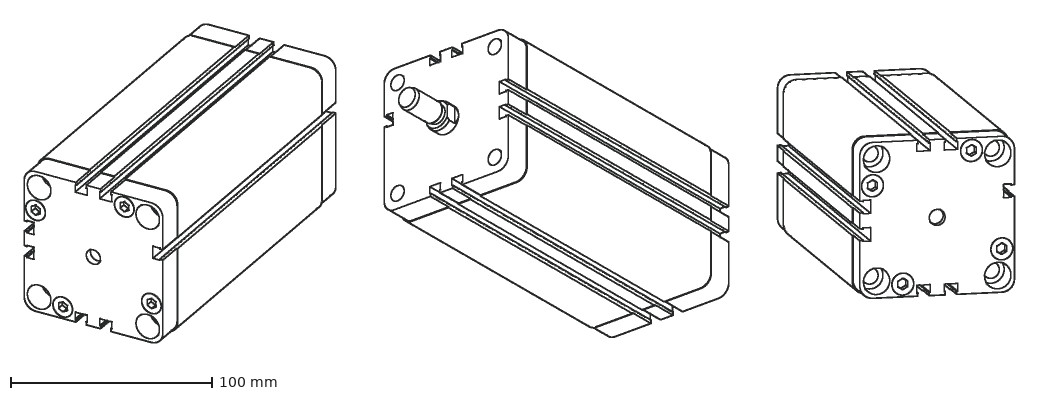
import cadquery as cq
import math

total_length = 206.5
body_length = 175.3
rear_y = -total_length / 2
shoulder_y = rear_y + body_length

barrel_side = 80.0
cap_side = 79.0
corner_radius = 6.6
cap_length = 14.5

slot_offset = 7.0
single_slot_z = 11.8
mouth_width = 5.5
channel_width = 6.8
lip_depth = 2.0
lip_flare = 0.3
slot_depth = 6.0

mount_pitch = 62.0
mount_hole_diameter = 8.5
counterbore_diameter = 13.5
counterbore_depth = cap_length

screw_far = 33.0
screw_near = 17.5
screw_head_diameter = 11.2
screw_head_recess = 0.2
socket_across_flats = 5.0
socket_depth = 4.1

center_hole_diameter = 8.0
center_hole_depth = 4.1

rod_diameter = 16.0
rod_end = 7.5
rod_chamfer_length = 1.9
rod_chamfer_height = 0.6
flat_across = 13.0
flat_start = 1.5
thread_diameter = 12.0
undercut_diameter = 10.5
thread_start = 10.0
thread_lead_in = 0.6
tip_diameter = 10.5
tip_chamfer_length = 2.3


def square_block(side, start_y, length):
    """Square block with rounded long edges, running along +Y from start_y."""
    return (
        cq.Workplane("XZ", origin=(0, start_y, 0))
        .rect(side, side)
        .extrude(-length)
        .edges("|Y")
        .fillet(corner_radius)
    )


def rear_cylinder(x, z, diameter, depth):
    """Cylinder reaching from the rear face into the part."""
    return cq.Workplane("XZ", origin=(x, rear_y, z)).circle(diameter / 2).extrude(-depth)


def slot(offset, turn):
    """Slot along the whole body, cut into the top side and then turned about Y."""
    outer_z = barrel_side / 2
    lip_z = outer_z - lip_depth
    floor_z = outer_z - slot_depth
    right_side = [
        (mouth_width / 2 + lip_flare, outer_z),
        (mouth_width / 2, lip_z),
        (channel_width / 2, lip_z),
        (channel_width / 2, floor_z),
    ]
    left_side = [(-x, z) for x, z in reversed(right_side)]
    return (
        cq.Workplane("XZ", origin=(offset, rear_y, 0))
        .polyline(right_side + left_side)
        .close()
        .extrude(-body_length)
        .rotate((0, 0, 0), (0, 1, 0), turn)
    )


def screw_recess(x, z):
    """Shallow seat of a cap screw with its hexagon socket."""
    socket_diameter = socket_across_flats / math.cos(math.pi / 6)
    socket = (
        cq.Workplane("XZ", origin=(x, rear_y, z))
        .transformed(rotate=(0, 0, 30))
        .polygon(6, socket_diameter)
        .extrude(-socket_depth)
    )
    return rear_cylinder(x, z, screw_head_diameter, screw_head_recess).union(socket)


def piston_rod():
    """Stepped rod with a threaded end and two wrench flats."""
    rod_radius = rod_diameter / 2
    tip_y = total_length - body_length
    profile = [
        (0, -cap_length),
        (rod_radius, -cap_length),
        (rod_radius, rod_end - rod_chamfer_length),
        (rod_radius - rod_chamfer_height, rod_end),
        (undercut_diameter / 2, rod_end),
        (undercut_diameter / 2, thread_start),
        (thread_diameter / 2, thread_start + thread_lead_in),
        (thread_diameter / 2, tip_y - tip_chamfer_length),
        (tip_diameter / 2, tip_y),
        (0, tip_y),
    ]
    rod = cq.Workplane("XY").polyline(profile).close().revolve(360, (0, 0, 0), (0, 1, 0))
    flat_x = flat_across / 2
    runout = rod_radius - flat_x
    flat = (
        cq.Workplane("XY")
        .polyline([
            (flat_x, flat_start),
            (flat_x, rod_end),
            (rod_radius, rod_end),
            (rod_radius, flat_start - runout),
        ])
        .close()
        .extrude(rod_radius, both=True)
    )
    rod = rod.cut(flat).cut(flat.mirror("YZ"))
    return rod.translate((0, shoulder_y, 0))


barrel = square_block(barrel_side, rear_y + cap_length, body_length - 2 * cap_length)
rear_cap = square_block(cap_side, rear_y, cap_length)
front_cap = square_block(cap_side, shoulder_y - cap_length, cap_length)
result = barrel.union(rear_cap).union(front_cap)

for turn in (0, 180, -90):
    for offset in (-slot_offset, slot_offset):
        result = result.cut(slot(offset, turn))
result = result.cut(slot(-single_slot_z, 90))

for x in (-mount_pitch / 2, mount_pitch / 2):
    for z in (-mount_pitch / 2, mount_pitch / 2):
        result = result.cut(rear_cylinder(x, z, mount_hole_diameter, body_length))
        result = result.cut(rear_cylinder(x, z, counterbore_diameter, counterbore_depth))

for x, z in (
    (screw_near, screw_far),
    (screw_far, -screw_near),
    (-screw_near, -screw_far),
    (-screw_far, screw_near),
):
    result = result.cut(screw_recess(x, z))

result = result.cut(rear_cylinder(0, 0, center_hole_diameter, center_hole_depth))
result = result.union(piston_rod())